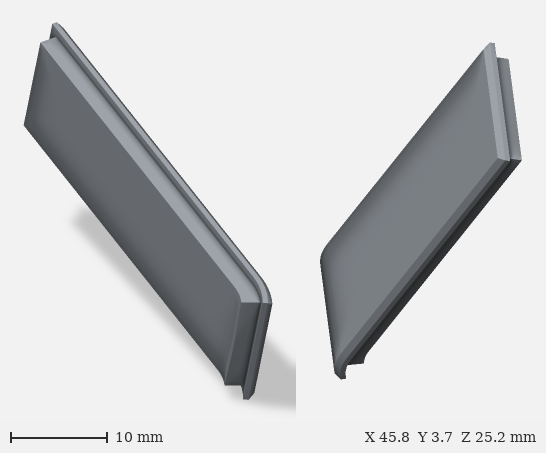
import cadquery as cq
import math

length = 43.57
width = 14.4
tilt = 15.0

plate_depth = 1.1
edge_chamfer = 0.55
curl_radius = 7.7
curl_angle = 33.0
mid_radius = curl_radius - edge_chamfer
curl_start = length - mid_radius * math.sin(math.radians(curl_angle))

inset = 1.0
block_depth = 3.02
front_radius = curl_radius - block_depth
front_curl_start = 39.4
tip_base = 42.4
tip_base_depth = 1.75
tip_front_depth = 3.7
tip_front_corner = 41.45
tip_front_middle = 41.93


def curl_point(start, radius, angle):
    """Point at an angle in degrees along a curl that leaves its flat face at X = start."""
    turn = math.radians(angle)
    return (start + radius * math.sin(turn), radius * math.cos(turn) - curl_radius)


def make_plate():
    inner_radius = curl_radius - plate_depth
    back_middle = curl_point(curl_start, curl_radius, curl_angle / 2)
    plate = (
        cq.Workplane("XY")
        .lineTo(curl_start, 0)
        .threePointArc(back_middle, curl_point(curl_start, curl_radius, curl_angle))
        .lineTo(*curl_point(curl_start, inner_radius, curl_angle))
        .threePointArc(curl_point(curl_start, inner_radius, curl_angle / 2), (curl_start, -plate_depth))
        .lineTo(0, -plate_depth)
        .close()
        .extrude(width)
    )
    flat_middle = (length / 2, 0, width / 2)
    flat_back = plate.faces(cq.selectors.NearestToPointSelector(flat_middle))
    curled_middle = (*back_middle, width / 2)
    curled_back = plate.faces(cq.selectors.NearestToPointSelector(curled_middle))
    seam_tolerance = 0.05
    rim = [
        edge
        for edge in flat_back.edges().vals() + curled_back.edges().vals()
        if abs(edge.Center().x - curl_start) > seam_tolerance
    ]
    return plate.newObject(rim).chamfer(edge_chamfer)


def make_block():
    profile = (
        cq.Workplane("XY")
        .moveTo(inset, 0)
        .lineTo(length, 0)
        .lineTo(*curl_point(front_curl_start, front_radius, 90))
        .threePointArc(
            curl_point(front_curl_start, front_radius, 45),
            (front_curl_start, -block_depth),
        )
        .lineTo(inset, -block_depth)
        .close()
        .extrude(width)
    )
    low = inset
    high = width - inset
    root_depth = tip_base_depth - plate_depth
    root = (
        cq.Workplane("XZ", origin=(0, -plate_depth, 0))
        .moveTo(inset, low)
        .lineTo(tip_base, low)
        .lineTo(tip_base, high)
        .lineTo(inset, high)
        .close()
        .extrude(root_depth)
    )
    taper = (
        root.faces("<Y")
        .wires()
        .toPending()
        .copyWorkplane(cq.Workplane("XZ", origin=(0, -tip_front_depth, 0)))
        .moveTo(inset, low)
        .lineTo(tip_front_corner, low)
        .threePointArc((tip_front_middle, width / 2), (tip_front_corner, high))
        .lineTo(inset, high)
        .close()
        .loft(ruled=True, combine=False)
    )
    return profile.intersect(root.union(taper))


bar = make_plate().union(make_block())
result = bar.rotate((0, 0, 0), (0, 1, 0), tilt)